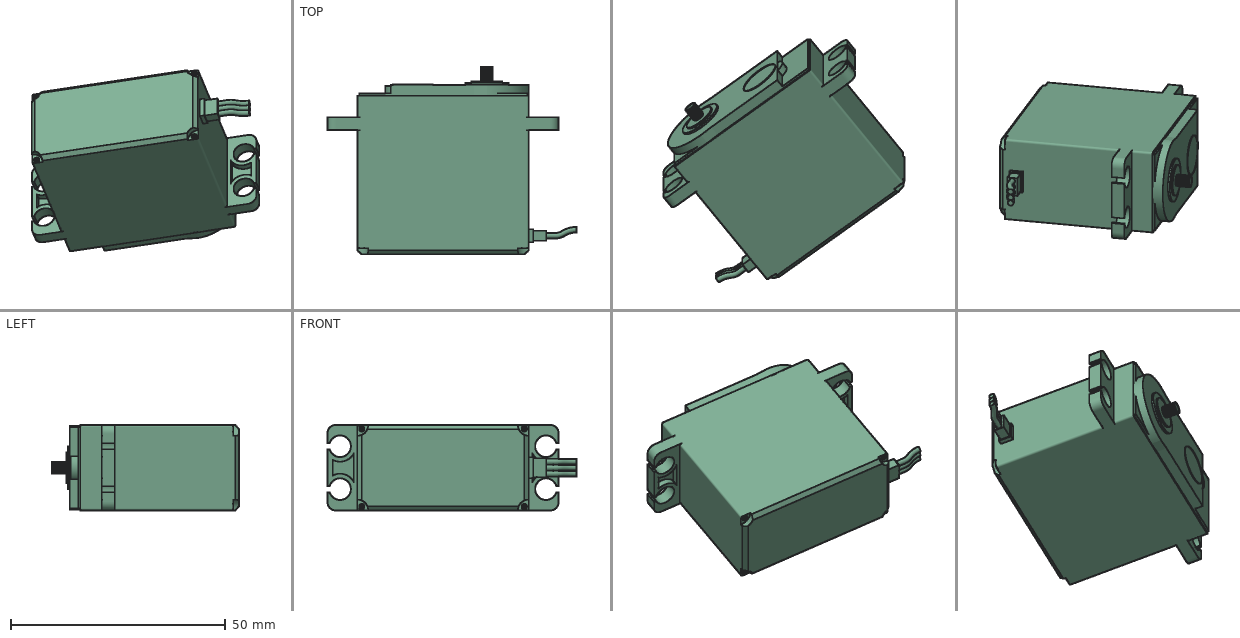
import cadquery as cq
import math


case_length = 40.0
case_width = 20.0
case_height = 37.05
case_edge_radius = 0.5
cover_bevel_inset = 1.05
cover_bevel_height = 0.95

corner_notch_radius = 2.55
corner_notch_depth = 1.45
screw_inset_x = 1.05
screw_inset_z = 0.95
screw_head_radius = 0.65
screw_head_recess = 0.2
screw_socket_radius = 0.4
screw_socket_depth = 0.4
screw_bar_width = 0.2

ear_span = 54.0
ear_bottom = 29.05
ear_thickness = 3.0
ear_corner_radius = 2.0
mount_hole_x = 24.0
mount_hole_z = 5.0
mount_hole_radius = 2.5
mount_slot_width = 1.45
ear_pocket_inner_x = 20.8
ear_pocket_outer_x = 25.8
ear_pocket_rim_radius = 3.6
ear_pocket_depth = 1.5

step_inset_x = 0.4
step_inset_z = 0.6
step_height = 0.5
gear_cover_height = 2.0
gear_cover_left_x = -12.15
gear_cover_ramp_x = 7.2
idler_boss_x = -10.05
idler_boss_radius = 3.45
idler_boss_height = 1.75
top_disc_x = -7.05
top_disc_radius = 4.65
top_disc_height = 0.2

shaft_x = 10.25
bearing_radius = 5.05
bearing_height = 0.45
bearing_cap_radius = 3.6
bearing_cap_height = 0.35
collar_radius = 1.3
collar_height = 0.3
spline_radius = 1.4
spline_root_radius = 1.3
spline_teeth = 25
overall_height = 43.75

cable_y = 4.35
grommet_flange_length = 1.05
grommet_flange_height = 3.15
grommet_flange_width = 4.9
grommet_length = 4.15
grommet_height = 2.4
grommet_width = 4.4
wire_count = 3
wire_pitch = 1.4
wire_diameter = 1.35
wire_straight_end_x = 26.25
wire_bend_angle = 32
wire_first_bend_radius = 3.4
wire_end_x = 31.2

half_length = case_length / 2
half_width = case_width / 2
step_half_length = half_length - step_inset_x
step_half_width = half_width - step_inset_z
step_top = case_height + step_height
gear_cover_top = step_top + gear_cover_height
gear_cover_radius = half_length - shaft_x


def plane_at(y, x=0, z=0):
    """Workplane at height y whose local axes are X and Z; its normal points to -Y."""
    return cq.Workplane("XZ", origin=(x, y, z))


def block(length, width, bottom, height):
    return plane_at(bottom).rect(length, width).extrude(-height)


def disc(radius, bottom, height, x=0, z=0):
    return plane_at(bottom, x, z).circle(radius).extrude(-height)


def make_case():
    rounded = block(case_length, case_width, 0, case_height)
    rounded = rounded.edges("|Y").fillet(case_edge_radius)
    face_length = case_length - 2 * cover_bevel_inset
    face_width = case_width - 2 * cover_bevel_inset
    bottom_face = plane_at(0).rect(face_length, face_width)
    bevel = bottom_face.workplane(offset=-cover_bevel_height).rect(case_length, case_width).loft()
    upper = block(case_length, case_width, cover_bevel_height, case_height - cover_bevel_height)
    return rounded.intersect(upper.union(bevel))


def make_corner_cut(side_x, side_z):
    """Quarter-round notch with a recessed screw head at one corner of the bottom cover."""
    notch = disc(corner_notch_radius, 0, corner_notch_depth, side_x * half_length, side_z * half_width)
    screw_x = side_x * (half_length - screw_inset_x)
    screw_z = side_z * (half_width - screw_inset_z)
    head = disc(screw_head_radius, corner_notch_depth, screw_head_recess, screw_x, screw_z)
    head_face = corner_notch_depth + screw_head_recess
    socket = disc(screw_socket_radius, head_face, screw_socket_depth, screw_x, screw_z)
    bar = (
        plane_at(head_face, screw_x, screw_z)
        .rect(screw_bar_width, 2 * screw_socket_radius)
        .extrude(-screw_socket_depth)
    )
    return notch.union(head).union(socket.cut(bar))


def make_ears():
    ears = block(ear_span, case_width, ear_bottom, ear_thickness).edges("|Y").fillet(ear_corner_radius)
    for side_x in (-1, 1):
        pocket_length = ear_pocket_outer_x - ear_pocket_inner_x
        pocket_x = side_x * (ear_pocket_outer_x + ear_pocket_inner_x) / 2
        pocket_outline = plane_at(ear_bottom, pocket_x).rect(pocket_length, 2 * mount_hole_z)
        pocket = pocket_outline.extrude(-ear_pocket_depth)
        slot_length = ear_span / 2 - mount_hole_x
        slot_x = side_x * (ear_span / 2 - slot_length / 2)
        for side_z in (-1, 1):
            hole_x = side_x * mount_hole_x
            hole_z = side_z * mount_hole_z
            pocket = pocket.cut(disc(ear_pocket_rim_radius, ear_bottom, ear_thickness, hole_x, hole_z))
            hole = disc(mount_hole_radius, ear_bottom, ear_thickness, hole_x, hole_z)
            slot_outline = plane_at(ear_bottom, slot_x, hole_z).rect(slot_length, mount_slot_width)
            slot = slot_outline.extrude(-ear_thickness)
            ears = ears.cut(hole).cut(slot)
        ears = ears.cut(pocket)
    return ears


def make_gear_cover():
    step = block(2 * step_half_length, 2 * step_half_width, case_height, step_height)
    plate = (
        plane_at(case_height)
        .moveTo(gear_cover_left_x, -step_half_width)
        .lineTo(gear_cover_ramp_x, -step_half_width)
        .lineTo(shaft_x, -gear_cover_radius)
        .threePointArc((shaft_x + gear_cover_radius, 0), (shaft_x, gear_cover_radius))
        .lineTo(gear_cover_ramp_x, step_half_width)
        .lineTo(gear_cover_left_x, step_half_width)
        .close()
        .extrude(case_height - gear_cover_top)
    )
    idler_boss = disc(idler_boss_radius, step_top, idler_boss_height, idler_boss_x)
    top_disc = disc(top_disc_radius, gear_cover_top, top_disc_height, top_disc_x)
    return step.union(plate).union(idler_boss).union(top_disc)


def make_output_shaft():
    cap_bottom = gear_cover_top + bearing_height
    collar_bottom = cap_bottom + bearing_cap_height
    spline_bottom = collar_bottom + collar_height
    bearing = disc(bearing_radius, gear_cover_top, bearing_height, shaft_x)
    cap = disc(bearing_cap_radius, cap_bottom, bearing_cap_height, shaft_x)
    collar = disc(collar_radius, collar_bottom, collar_height, shaft_x)
    points = []
    for i in range(2 * spline_teeth):
        radius = spline_radius if i % 2 == 0 else spline_root_radius
        angle = math.pi * i / spline_teeth
        points.append((radius * math.cos(angle), radius * math.sin(angle)))
    spline_outline = plane_at(spline_bottom, shaft_x).polyline(points).close()
    spline = spline_outline.extrude(spline_bottom - overall_height)
    return bearing.union(cap).union(collar).union(spline)


def bend_offset(radius, angle):
    """Forward and sideways travel along an arc that starts straight ahead."""
    return radius * math.sin(angle), radius * (1 - math.cos(angle))


def make_wire(z):
    """Round wire that leaves the grommet straight, bends to +Y and bends back parallel to X."""
    bend = math.radians(wire_bend_angle)
    first_mid = bend_offset(wire_first_bend_radius, bend / 2)
    first_end = bend_offset(wire_first_bend_radius, bend)
    bend_x = wire_straight_end_x + first_end[0]
    bend_y = cable_y + first_end[1]
    second_radius = (wire_end_x - bend_x) / math.sin(bend)
    end_y = bend_y + bend_offset(second_radius, bend)[1]
    second_mid = bend_offset(second_radius, bend / 2)
    start_x = half_length + grommet_length / 2
    path = (
        cq.Workplane("XY", origin=(0, 0, z))
        .moveTo(start_x, cable_y)
        .lineTo(wire_straight_end_x, cable_y)
        .threePointArc((wire_straight_end_x + first_mid[0], cable_y + first_mid[1]), (bend_x, bend_y))
        .threePointArc((wire_end_x - second_mid[0], end_y - second_mid[1]), (wire_end_x, end_y))
    )
    return cq.Workplane("YZ", origin=(start_x, cable_y, z)).circle(wire_diameter / 2).sweep(path)


def make_cable():
    outlet = cq.Workplane("YZ", origin=(half_length, cable_y, 0))
    flange = outlet.rect(grommet_flange_height, grommet_flange_width).extrude(grommet_flange_length)
    cable = flange.union(outlet.rect(grommet_height, grommet_width).extrude(grommet_length))
    for i in range(wire_count):
        cable = cable.union(make_wire((i - (wire_count - 1) / 2) * wire_pitch))
    return cable


case = make_case()
for corner_side_x in (-1, 1):
    for corner_side_z in (-1, 1):
        case = case.cut(make_corner_cut(corner_side_x, corner_side_z))

result = case.union(make_ears()).union(make_gear_cover()).union(make_output_shaft()).union(make_cable())